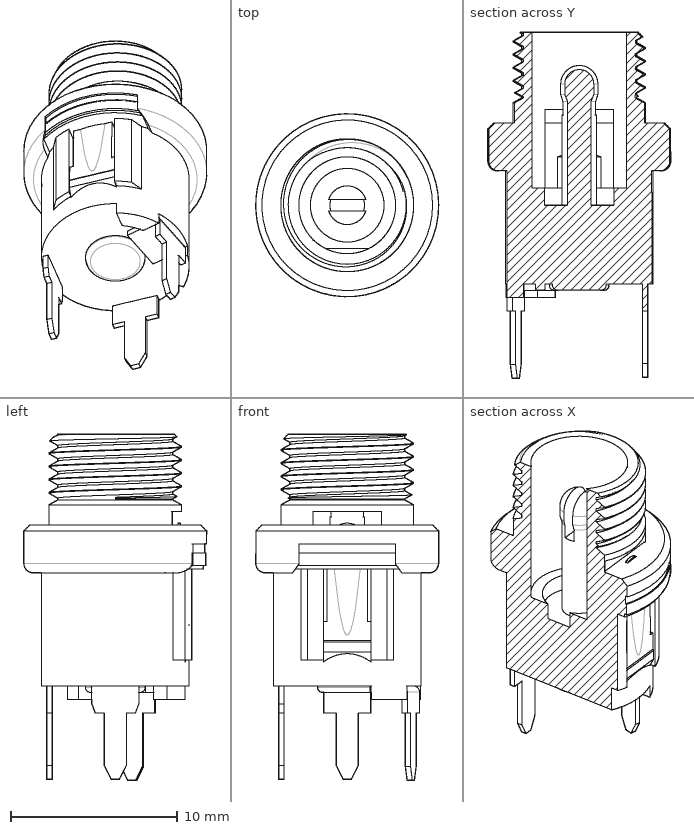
import cadquery as cq
import math


foot_bottom = 4.85
body_bottom = 5.67
flange_bottom = 12.48
flange_top = 15.37
collar_top = 16.58
total_height = 20.83

body_radius = 8.9 / 2
flange_radius = 11.02 / 2
flange_chamfer = 0.37
flange_fillet = 0.58
collar_radius = 8.0 / 2

root_radius = 6.94 / 2
crest_radius = collar_radius
pitch = 0.8
thread_start = 16.7
thread_start_angle = 180
ridge_root_half_width = 0.365
ridge_crest_half_width = 0.02
ridge_overlap = 0.073
ridge_end_clearance = 0.08
relief_height = 0.3
relief_land = 0.06
envelope_margin = 0.2

bore_radius = 5.83 / 2
bore_floor = 11.45
inner_bore_radius = 4.44 / 2
inner_bore_floor = 10.42
pin_neck_radius = 1.05
pin_head_radius = 1.17
pin_neck_top = 16.66
pin_head_base = 17.08
pin_dome_base = 17.7
pin_slot_width = 0.67
pin_slot_floor = 15.83
contact_y = -2.6
contact_top = 13.54
contact_slope_height = 0.2

window_width = 4.1
window_height = 0.8
pocket_depth = 3.37
tab_radius = 1.05
tab_top = 15.48
tab_outer_y = -3.94
tab_thickness = 0.17

rib_radius = 4.83
rib_bottom = 7.23
rib_root_half_width = 2.8
rib_half_width = 2.4
channel_half_width = 1.44
tongue_half_width = 1.2
tongue_slit_bottom = 9.56
tongue_slit_depth = 0.62
tongue_draft = 1.0
tongue_flush_z = 8.75
latch_top = 8.42
latch_shoulder = 8.33
latch_bottom = 7.73
latch_y = -4.5
latch_toe_y = -4.17
latch_toe_z = 7.05
recess_width = 5.83
recess_bottom = 12.7
recess_top = 14.23
recess_flare = 0.37
recess_flare_height = 0.52
recess_step = 13.69
recess_upper_radius = 5.4
recess_lower_radius = 5.45
recess_lip_radius = 5.31
recess_lip_top = 12.91

foot_inner_radius = 3.42
foot_end_angle = 40.5
foot_side_x = channel_half_width
foot_slot_width = 3.17
rivet_radius = 1.8
rivet_height = 0.37
rivet_fillet = 0.3

terminal_circle_radius = 3.95
terminal_thickness = 0.33
shoulder_half_width = 1.42
shoulder_bottom = 4.05
shoulder_taper_height = 0.56
shoulder_taper = 0.2
blade_half_width = 0.67
blade_tip_half_width = 0.25
blade_tip_length = 0.83
side_terminal_tip = 0.06
left_terminal_angle = 180
back_terminal_angle = 90
angled_terminal_angle = -15
terminal_embed = 0.2
bent_leg_bottom = 5.3
bent_leg_radius = 0.35


def disc(radius, bottom, top):
    return cq.Workplane("XY").workplane(offset=bottom).circle(radius).extrude(top - bottom)


def box(x_range, y_range, z_range):
    size = [high - low for low, high in (x_range, y_range, z_range)]
    corner = (x_range[0], y_range[0], z_range[0])
    return cq.Workplane("XY").box(*size, centered=False).translate(corner)


def side_prism(points, half_width):
    """Extrude a (Y, Z) outline symmetrically along X."""
    return cq.Workplane("YZ").polyline(points).close().extrude(half_width, both=True)


def make_flange():
    flange = disc(flange_radius, flange_bottom, flange_top)
    flange = flange.faces(">Z").chamfer(flange_chamfer)
    flange = flange.faces("<Z").edges().fillet(flange_fillet)
    return cut_rim_recess(flange)


def cut_rim_recess(flange):
    half = recess_width / 2
    flare_top = flange_bottom + recess_flare_height
    right_side = [(half, recess_top), (half, flare_top), (half + recess_flare, flange_bottom)]
    left_side = [(-x, z) for x, z in reversed(right_side)]
    sector = cq.Workplane("XZ").polyline(right_side + left_side).close().extrude(flange_radius)
    steps = disc(recess_upper_radius, recess_step, recess_top)
    steps = steps.union(disc(recess_lower_radius, recess_lip_top, recess_step))
    steps = steps.union(disc(recess_lip_radius, recess_bottom, recess_lip_top))
    return flange.cut(sector).union(sector.intersect(steps))


def make_threaded_nose():
    core = disc(root_radius, collar_top, total_height)
    relief = (
        cq.Workplane("XZ")
        .polyline([(0, collar_top), (collar_radius, collar_top), (root_radius, collar_top + relief_height),
                   (0, collar_top + relief_height)])
        .close()
        .revolve(360, (0, 0, 0), (0, 1, 0))
    )
    base_radius = root_radius - ridge_overlap
    helix = cq.Wire.makeHelix(pitch, total_height + pitch - thread_start, base_radius)
    ridge = (
        cq.Workplane("XZ")
        .polyline([(base_radius, -ridge_root_half_width), (crest_radius, -ridge_crest_half_width),
                   (crest_radius, ridge_crest_half_width), (base_radius, ridge_root_half_width)])
        .close()
        .sweep(cq.Workplane(helix), isFrenet=True)
        .translate((0, 0, thread_start))
    )
    ridge = ridge.rotate((0, 0, 0), (0, 0, 1), thread_start_angle)
    envelope_radius = crest_radius + envelope_margin
    ridge_bottom = collar_top + relief_height + relief_land
    relief_slope = relief_height / (collar_radius - root_radius)
    bottom_bevel = envelope_radius - root_radius
    envelope = disc(envelope_radius, ridge_bottom, total_height)
    envelope = envelope.faces(">Z").chamfer(bottom_bevel - ridge_end_clearance)
    envelope = envelope.faces("<Z").chamfer(bottom_bevel * relief_slope, bottom_bevel)
    ridge = ridge.intersect(envelope)
    collar = disc(collar_radius, flange_top, collar_top)
    return collar.union(relief).union(core).union(ridge)


def make_ribs():
    body_y = -math.sqrt(body_radius**2 - rib_root_half_width**2)
    rib_y = -math.sqrt(rib_radius**2 - rib_half_width**2)
    ribs = (
        cq.Workplane("XY")
        .workplane(offset=rib_bottom)
        .moveTo(-rib_root_half_width, body_y)
        .lineTo(-rib_half_width, rib_y)
        .threePointArc((0, -rib_radius), (rib_half_width, rib_y))
        .lineTo(rib_root_half_width, body_y)
        .close()
        .extrude(recess_bottom - rib_bottom)
    )
    channel = box((-channel_half_width, channel_half_width), (-rib_radius, 0), (rib_bottom, recess_bottom))
    return ribs.cut(channel)


def make_tongue():
    slope = math.tan(math.radians(tongue_draft))

    def tongue_y(z):
        return -body_radius + slope * (z - tongue_flush_z)

    back_y = -body_radius + tongue_slit_depth
    outline = [(back_y, latch_toe_z), (latch_toe_y, latch_toe_z), (latch_y, latch_bottom),
               (latch_y, latch_shoulder), (tongue_y(latch_top), latch_top), (tongue_y(recess_bottom), recess_bottom),
               (back_y, recess_bottom)]
    return side_prism(outline, channel_half_width)


def make_tongue_slits():
    slit = box((tongue_half_width, channel_half_width), (-rib_radius, -body_radius + tongue_slit_depth),
               (tongue_slit_bottom, recess_bottom))
    return slit.union(slit.mirror("YZ"))


def make_socket():
    socket = disc(bore_radius, bore_floor, total_height)
    socket = socket.union(disc(inner_bore_radius, inner_bore_floor, bore_floor))
    half = window_width / 2
    window = box((-half, half), (-flange_radius, 0), (flange_top, flange_top + window_height))
    pocket = box((-half, half), (-pocket_depth, 0), (bore_floor, flange_top))
    return socket.union(window).union(pocket)


def make_tab():
    """Round-topped tab rising slightly above the flange in front of the collar window."""
    tab = cq.Workplane("XZ").center(0, tab_top - tab_radius).circle(tab_radius).extrude(tab_thickness)
    return tab.translate((0, tab_outer_y + tab_thickness, 0))


def make_pin():
    pin = (
        cq.Workplane("XZ")
        .moveTo(0, inner_bore_floor)
        .lineTo(pin_neck_radius, inner_bore_floor)
        .lineTo(pin_neck_radius, pin_neck_top)
        .lineTo(pin_head_radius, pin_head_base)
        .lineTo(pin_head_radius, pin_dome_base)
        .radiusArc((0, pin_dome_base + pin_head_radius), -pin_head_radius)
        .close()
        .revolve(360, (0, 0, 0), (0, 1, 0))
    )
    half = pin_slot_width / 2
    slot = box((-pin_head_radius, pin_head_radius), (-half, half), (pin_slot_floor, total_height))
    return pin.cut(slot)


def make_contact():
    outline = [(-bore_radius, bore_floor), (contact_y, bore_floor),
               (contact_y, contact_top - contact_slope_height), (-bore_radius, contact_top)]
    half_width = math.sqrt(bore_radius**2 - contact_y**2)
    return side_prism(outline, half_width).intersect(disc(bore_radius, bore_floor, contact_top))


def make_foot():
    foot = disc(body_radius, foot_bottom, body_bottom).cut(disc(foot_inner_radius, foot_bottom, body_bottom))
    side = box((foot_side_x, body_radius), (-body_radius, body_radius), (foot_bottom, body_bottom))
    foot = foot.intersect(side)
    end_cut = box((0, flange_radius), (0, flange_radius), (foot_bottom, body_bottom))
    end_cut = end_cut.rotate((0, 0, 0), (0, 0, 1), foot_end_angle)
    half = foot_slot_width / 2
    slot = box((rivet_radius, flange_radius), (-half, half), (foot_bottom, body_bottom))
    slot = slot.rotate((0, 0, 0), (0, 0, 1), angled_terminal_angle)
    return foot.cut(end_cut).cut(slot)


def make_rivet():
    rivet = disc(rivet_radius, body_bottom - rivet_height, body_bottom)
    return rivet.faces("<Z").edges().fillet(rivet_fillet)


def make_terminal(angle, tip_z, taper):
    """Flat terminal facing outward at the given angle; taper narrows its shoulder."""
    right_side = [(blade_tip_half_width, tip_z), (blade_half_width, tip_z + blade_tip_length),
                  (blade_half_width, shoulder_bottom), (shoulder_half_width - taper, shoulder_bottom),
                  (shoulder_half_width, shoulder_bottom + shoulder_taper_height),
                  (shoulder_half_width, body_bottom + terminal_embed)]
    left_side = [(-y, z) for y, z in reversed(right_side)]
    plate = cq.Workplane("YZ").polyline(right_side + left_side).close()
    plate = plate.extrude(terminal_thickness / 2, both=True)
    return plate.translate((terminal_circle_radius, 0, 0)).rotate((0, 0, 0), (0, 0, 1), angle)


def make_bent_terminal():
    """Terminal whose top bends inward under the body and runs to the rivet."""
    outer_face = terminal_circle_radius + terminal_thickness / 2
    limit = box((0, outer_face), (-body_radius, body_radius), (0, body_bottom))
    leg = box((rivet_radius, outer_face), (-shoulder_half_width, shoulder_half_width),
              (bent_leg_bottom, body_bottom))
    terminal = make_terminal(0, 0, 0).intersect(limit).union(leg)
    terminal = terminal.faces(">Z").edges(">X").fillet(bent_leg_radius)
    return terminal.rotate((0, 0, 0), (0, 0, 1), angled_terminal_angle)


body = disc(body_radius, body_bottom, flange_top)
result = body.union(make_tongue()).union(make_ribs()).cut(make_tongue_slits())
result = result.union(make_flange()).union(make_threaded_nose()).cut(make_socket())
result = result.union(make_pin()).union(make_contact()).union(make_tab())
result = result.union(make_foot()).union(make_rivet())
result = result.union(make_terminal(left_terminal_angle, side_terminal_tip, shoulder_taper))
result = result.union(make_terminal(back_terminal_angle, side_terminal_tip, 0))
result = result.union(make_bent_terminal())